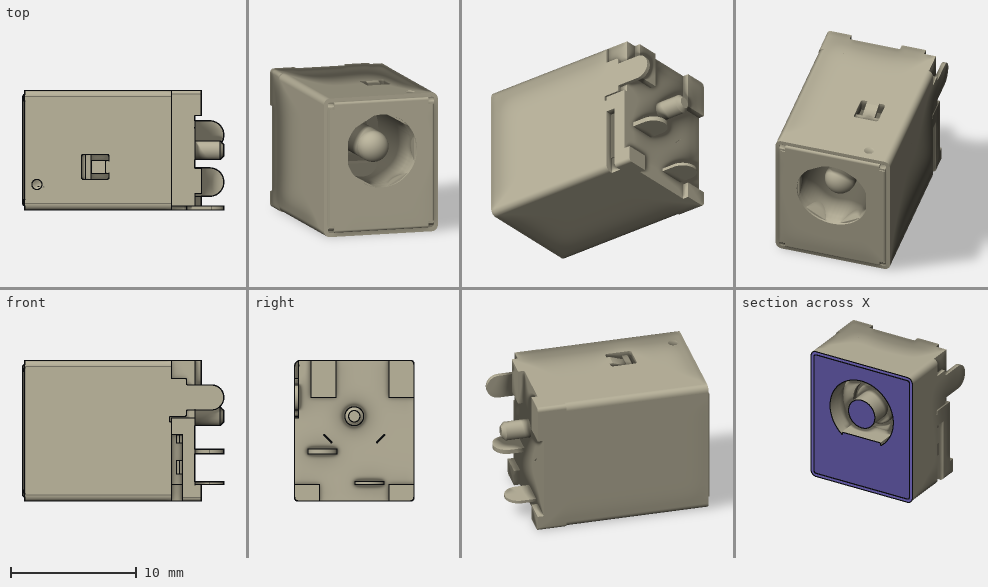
import cadquery as cq
import math


WIDTH = 9.5
HEIGHT = 11.2
LENGTH = 16.0
RIGHT = -WIDTH / 2
LEFT = WIDTH / 2
BORE_Z = 6.75

SHEET = 0.33
SHELL_FRONT = 0.17
SHELL_END = 11.85
SHELL_RADIUS = 0.5
PLUG_RADIUS = SHELL_RADIUS - SHEET

TAB_Z = 8.25
TAB_WIDTH = 2.0
TAB_ROOT_WIDTH = 3.0
TAB_ROOT_END = 13.02
TAB_CORNER = 0.1
RELIEF_DEPTH = 0.18
RELIEF_HEIGHT = 0.45

WINDOW_FRONT = 4.7
WINDOW_END = 6.85
WINDOW_Y = -1.33
WINDOW_WIDTH = 2.02
WINDOW_CORNER = 0.2
TONGUE_WIDTH = 1.0
TONGUE_TIP = 5.47
TONGUE_BEND = 6.58
TONGUE_DROP = 0.38
LATCH_CREST_START = 5.0
LATCH_CREST_END = 5.45
LATCH_RAMP_DROP = 0.4
LATCH_POCKET_DEPTH = 1.0

DIMPLE_X = 1.14
DIMPLE_Y = -2.72
DIMPLE_RADIUS = 0.4
DIMPLE_DEPTH = 0.15

FRONT_ROUND = 0.2
LEFT_STEP_WIDTH = 0.11
NOTCH_WIDTH = 0.5
NOTCH_HEIGHT = 0.55
NOTCH_DEPTH = 0.08
RAMP_OUTER = 0.14
RAMP_INNER = 0.37

BORE_RADIUS = 2.93
MOUTH_RADIUS = 2.95
MOUTH_DEPTH = 0.42
BORE_END = 10.0
RIB_COUNT = 6
RIB_FLAT_RADIUS = 2.77
RIB_FRONT = 0.15
RIB_END = 1.75
COLLAR_RADIUS = 1.75
COLLAR_ROUND = 0.2
GROOVE_RADIUS = 2.0
GROOVE_DEPTH = 0.5

SPRING_WIDTH = 3.6
SPRING_START = 5.0
SPRING_RISE_END = 7.0
SPRING_TOP_START = 7.3
SPRING_KNEE = 2.23
SPRING_TOP = 2.08
SLIT_LENGTH = 0.86
SLIT_THICKNESS = 0.06
SLIT_Y = 2.09
SLIT_DROP = 1.78

PIN_RADIUS = 1.25
PIN_TIP = 1.0
TAIL_RADIUS = 0.75
TAIL_CHAMFER = 0.3

BLOCK_END = 13.7
FOOT_END = 14.2
BLOCK_RADIUS = 0.3
FLANGE_TOP = 6.62
FOOT_WIDTH = 2.0
TOP_FOOT_HEIGHT = 2.95
BOTTOM_FOOT_HEIGHT = 1.32
INNER_FOOT_Y = -2.44

RECESS_END = 12.69
RECESS_TOP = 5.29
RECESS_DEPTH = 0.62
LOWER_RECESS_TOP = 1.32
LOWER_RECESS_DEPTH = 0.7
BARB_START = 12.22
BARB_RISE = 0.25
BARB_HEIGHT = 0.16
BARB_SPANS = [(4.62, 5.25), (2.16, 3.23)]

TERMINAL_WIDTH = 2.28
TERMINALS = [(-2.53, 3.76, 0.37), (1.21, 1.32, 0.24)]


def box(x0, x1, y0, y1, z0, z1):
    return cq.Workplane("XY").box(x1 - x0, y1 - y0, z1 - z0, centered=False).translate((x0, y0, z0))


def rod(radius, x0, x1):
    """Cylinder on the bore axis."""
    return cq.Workplane("YZ", origin=(x0, 0, BORE_Z)).circle(radius).extrude(x1 - x0)


def side_prism(points, y0, y1):
    """Prism with an (x, z) outline, running from y0 to y1."""
    return cq.Workplane("XZ", origin=(0, y1, 0)).polyline(points).close().extrude(y1 - y0)


def sleeve_block(x0, x1, inset, radius):
    """Block of the shell outline moved in by inset, with rounded long edges."""
    return box(x0, x1, RIGHT + inset, LEFT - inset, inset, HEIGHT - inset).edges("|X").fillet(radius)


def solder_tab():
    wall = RIGHT + SHEET
    tip_radius = TAB_WIDTH / 2
    half_root = TAB_ROOT_WIDTH / 2
    blade = (
        cq.Workplane("XZ", origin=(0, wall, 0))
        .moveTo(SHELL_END, TAB_Z - half_root)
        .lineTo(TAB_ROOT_END, TAB_Z - half_root)
        .lineTo(TAB_ROOT_END, TAB_Z - tip_radius)
        .lineTo(LENGTH - tip_radius, TAB_Z - tip_radius)
        .threePointArc((LENGTH, TAB_Z), (LENGTH - tip_radius, TAB_Z + tip_radius))
        .lineTo(TAB_ROOT_END, TAB_Z + tip_radius)
        .lineTo(TAB_ROOT_END, TAB_Z + half_root)
        .lineTo(SHELL_END, TAB_Z + half_root)
        .close()
        .extrude(SHEET)
    )
    step = cq.selectors.BoxSelector(
        (TAB_ROOT_END - TAB_CORNER, RIGHT - SHEET, 0),
        (TAB_ROOT_END + TAB_CORNER, wall + SHEET, HEIGHT),
    )
    return blade.edges("|Y").edges(step).fillet(TAB_CORNER)


def tab_relief():
    """Rounded cut in the shell edge just below the tab root."""
    top = TAB_Z - TAB_ROOT_WIDTH / 2
    cut = box(SHELL_END - RELIEF_DEPTH, SHELL_END, RIGHT, RIGHT + SHEET, top - RELIEF_HEIGHT, top)
    return cut.edges("|Y and <X").fillet(TAB_CORNER)


def latch_window():
    y0 = WINDOW_Y - WINDOW_WIDTH / 2
    y1 = WINDOW_Y + WINDOW_WIDTH / 2
    opening = box(WINDOW_FRONT, WINDOW_END, y0, y1, HEIGHT - SHEET, HEIGHT)
    return opening.edges("|Z").fillet(WINDOW_CORNER)


def latch_tongue():
    """Strip of sheet left on the rear edge of the window and bent down towards the front."""
    slope = math.atan2(TONGUE_DROP, TONGUE_BEND - TONGUE_TIP)
    lower_bend = TONGUE_BEND + SHEET * math.tan(slope / 2)
    vertical_thickness = SHEET / math.cos(slope)
    tip_z = HEIGHT - TONGUE_DROP
    outline = [
        (TONGUE_TIP, tip_z),
        (TONGUE_BEND, HEIGHT),
        (WINDOW_END, HEIGHT),
        (WINDOW_END, HEIGHT - SHEET),
        (lower_bend, HEIGHT - SHEET),
        (TONGUE_TIP, tip_z - vertical_thickness),
    ]
    return side_prism(outline, WINDOW_Y - TONGUE_WIDTH / 2, WINDOW_Y + TONGUE_WIDTH / 2)


def dimple():
    ball_radius = (DIMPLE_RADIUS**2 + DIMPLE_DEPTH**2) / (2 * DIMPLE_DEPTH)
    centre_z = HEIGHT - DIMPLE_DEPTH + ball_radius
    return cq.Workplane("XY").sphere(ball_radius).translate((DIMPLE_X, DIMPLE_Y, centre_z))


def make_shell():
    tube = sleeve_block(SHELL_FRONT, SHELL_END, 0, SHELL_RADIUS)
    tube = tube.cut(sleeve_block(SHELL_FRONT, SHELL_END, SHEET, PLUG_RADIUS))
    tube = tube.cut(latch_window()).cut(tab_relief()).cut(dimple())
    return tube.union(latch_tongue()).union(solder_tab()).solids()


def corner_notch(y0, y1, upper):
    """Shallow notch in a front corner, ramping deeper towards the shell wall."""
    deep = NOTCH_DEPTH + RAMP_INNER - RAMP_OUTER
    profile = [
        (0, 0),
        (0, NOTCH_HEIGHT),
        (NOTCH_DEPTH, NOTCH_HEIGHT),
        (NOTCH_DEPTH, RAMP_INNER),
        (deep, RAMP_OUTER),
        (deep, 0),
    ]
    if upper:
        points = [(x, HEIGHT - SHEET - inward) for x, inward in profile]
    else:
        points = [(x, SHEET + inward) for x, inward in profile]
    return side_prism(points, y0, y1)


def front_plug():
    """Part of the housing that fills the shell."""
    plug = sleeve_block(0, SHELL_END, SHEET, PLUG_RADIUS)
    inner_left = LEFT - SHEET
    inner_right = RIGHT + SHEET
    rounded = box(0, SHELL_END, inner_right, inner_left, SHEET, HEIGHT - SHEET)
    rounded = rounded.faces("<X").edges("not(>Y)").fillet(FRONT_ROUND)
    plug = plug.intersect(rounded)
    plug = plug.cut(box(0, NOTCH_DEPTH, inner_left - LEFT_STEP_WIDTH, inner_left, SHEET, HEIGHT - SHEET))
    for upper in (True, False):
        plug = plug.cut(corner_notch(inner_left - NOTCH_WIDTH, inner_left, upper))
        plug = plug.cut(corner_notch(inner_right, inner_right + NOTCH_WIDTH, upper))
    return plug


def latch_pocket():
    """Pocket below the shell window: a ramp up to the latch crest, then room for the tongue behind it."""
    top = HEIGHT - SHEET
    floor = HEIGHT - LATCH_POCKET_DEPTH
    ramp = [(WINDOW_FRONT, top), (WINDOW_FRONT, top - LATCH_RAMP_DROP), (LATCH_CREST_START, top)]
    tongue_room = [(LATCH_CREST_END, top), (LATCH_CREST_END, floor), (WINDOW_END, floor), (WINDOW_END, top)]
    y0 = WINDOW_Y - WINDOW_WIDTH / 2
    y1 = WINDOW_Y + WINDOW_WIDTH / 2
    return side_prism(ramp, y0, y1).union(side_prism(tongue_room, y0, y1))


def rear_block():
    block = box(SHELL_END, BLOCK_END, RIGHT, LEFT, 0, HEIGHT)
    top_feet_base = HEIGHT - TOP_FOOT_HEIGHT
    block = block.union(box(BLOCK_END, FOOT_END, LEFT - FOOT_WIDTH, LEFT, top_feet_base, HEIGHT))
    half = FOOT_WIDTH / 2
    block = block.union(
        box(BLOCK_END, FOOT_END, INNER_FOOT_Y - half, INNER_FOOT_Y + half, top_feet_base, HEIGHT)
    )
    for y0 in (RIGHT, LEFT - FOOT_WIDTH):
        block = block.union(box(BLOCK_END, FOOT_END, y0, y0 + FOOT_WIDTH, 0, BOTTOM_FOOT_HEIGHT))
    envelope = sleeve_block(SHELL_END, FOOT_END, 0, BLOCK_RADIUS)
    block = block.intersect(envelope)
    return block.cut(box(SHELL_END, FOOT_END, RIGHT, RIGHT + SHEET, FLANGE_TOP, HEIGHT))


def side_recess():
    upper = box(SHELL_END, RECESS_END, RIGHT, RIGHT + RECESS_DEPTH, LOWER_RECESS_TOP, RECESS_TOP)
    lower = box(SHELL_END, RECESS_END, RIGHT, RIGHT + LOWER_RECESS_DEPTH, 0, LOWER_RECESS_TOP)
    return upper.union(lower)


def barb(z0, z1):
    floor = RIGHT + RECESS_DEPTH
    crest = floor - BARB_HEIGHT
    return (
        cq.Workplane("XY", origin=(0, 0, z0))
        .moveTo(BARB_START, floor)
        .lineTo(BARB_START + BARB_RISE, crest)
        .lineTo(RECESS_END, crest)
        .lineTo(RECESS_END, floor)
        .close()
        .extrude(z1 - z0)
    )


def terminal(centre_y, z0, thickness):
    radius = TERMINAL_WIDTH / 2
    return (
        cq.Workplane("XY", origin=(0, centre_y, z0))
        .moveTo(BLOCK_END, -radius)
        .lineTo(LENGTH - radius, -radius)
        .threePointArc((LENGTH, 0), (LENGTH - radius, radius))
        .lineTo(BLOCK_END, radius)
        .close()
        .extrude(thickness)
    )


def bore():
    """Plug bore with a tapered mouth; a groove in its floor leaves a rounded collar around the pin."""
    collar = rod(COLLAR_RADIUS, BORE_END, BORE_END + GROOVE_DEPTH).faces("<X").edges().fillet(COLLAR_ROUND)
    groove = rod(GROOVE_RADIUS, BORE_END, BORE_END + GROOVE_DEPTH).cut(collar)
    mouth_rim = cq.Workplane("YZ", origin=(0, 0, BORE_Z)).circle(MOUTH_RADIUS)
    mouth = mouth_rim.workplane(offset=MOUTH_DEPTH).circle(BORE_RADIUS).loft(ruled=True)
    return rod(BORE_RADIUS, 0, BORE_END).union(mouth).union(groove)


def centring_ribs():
    """Flat-topped ribs around the bore mouth that slope back into its wall and fade out."""
    profile = [
        (RIB_FRONT, RIB_FLAT_RADIUS),
        (RIB_END, BORE_RADIUS),
        (RIB_END, MOUTH_RADIUS),
        (RIB_FRONT, MOUTH_RADIUS),
    ]
    blank = cq.Workplane("XY").polyline(profile).close().extrude(BORE_RADIUS, both=True)
    blank = blank.intersect(cq.Workplane("YZ").circle(MOUTH_RADIUS).extrude(RIB_END))
    ribs = []
    for i in range(RIB_COUNT):
        rib = blank.rotate((0, 0, 0), (1, 0, 0), i * 360 / RIB_COUNT)
        ribs.append(rib.translate((0, 0, BORE_Z)))
    return ribs


def spring_contact():
    outline = [
        (SPRING_START, BORE_Z - BORE_RADIUS),
        (SPRING_RISE_END, BORE_Z - SPRING_KNEE),
        (SPRING_TOP_START, BORE_Z - SPRING_TOP),
        (BORE_END, BORE_Z - SPRING_TOP),
        (BORE_END, BORE_Z - BORE_RADIUS),
    ]
    strip = side_prism(outline, -SPRING_WIDTH / 2, SPRING_WIDTH / 2)
    return strip.intersect(rod(BORE_RADIUS, 0, BORE_END))


def sight_slit(side):
    """Thin 45 degree slit from the bore floor out through the back."""
    return (
        cq.Workplane("YZ", origin=(BORE_END, side * SLIT_Y, BORE_Z - SLIT_DROP))
        .transformed(rotate=(0, 0, side * 45))
        .rect(SLIT_LENGTH, SLIT_THICKNESS)
        .extrude(BLOCK_END - BORE_END)
    )


def centre_pin():
    dome_centre = PIN_TIP + PIN_RADIUS
    dome = cq.Workplane("XY").sphere(PIN_RADIUS).translate((dome_centre, 0, BORE_Z))
    tail = rod(TAIL_RADIUS, BLOCK_END, LENGTH).faces(">X").chamfer(TAIL_CHAMFER)
    return rod(PIN_RADIUS, dome_centre, BLOCK_END).union(dome).union(tail)


def make_housing():
    body = front_plug().union(rear_block())
    body = body.cut(latch_pocket()).cut(side_recess()).cut(bore())
    for rib in centring_ribs():
        body = body.union(rib)
    body = body.union(spring_contact())
    for side in (-1, 1):
        body = body.cut(sight_slit(side))
    for z0, z1 in BARB_SPANS:
        body = body.union(barb(z0, z1))
    for centre_y, z0, thickness in TERMINALS:
        body = body.union(terminal(centre_y, z0, thickness))
    return body.union(centre_pin()).solids()


shell = make_shell()
housing = make_housing()
result = cq.Compound.makeCompound([shell.val(), housing.val()])